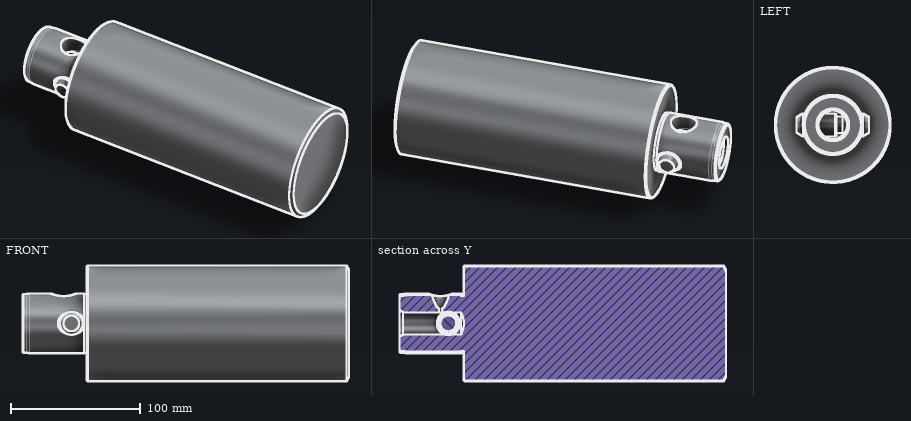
import cadquery as cq
import math

total_length = 253.2
body_radius = 44.95
shoulder_x = 50.0
body_front_chamfer = 1.0
body_rear_chamfer_length = 2.0
body_rear_chamfer_depth = 3.5

spigot_radius = 23.3
relief_radius = 22.8
nose_chamfer = 1.0
relief_end_x = 3.3
taper_end_x = 5.5
undercut_start_x = 47.5

bore_radius = 11.1
bore_mouth_radius = 12.7
bore_mouth_depth = 2.8
bore_depth = 47.5
drill_half_angle = math.radians(59)
drill_point_depth = bore_radius / math.tan(drill_half_angle)

access_x = 32.0
access_radius = 7.3
access_mouth_radius = 10.1

pin_x = 38.0
pin_radius = 8.9
pin_reach = 28.0
pin_tip_radius = 6.0
pin_cone_half_angle = math.radians(30)
pin_cone_length = (pin_radius - pin_tip_radius) / math.tan(pin_cone_half_angle)
cross_hole_mouth_radius = 10.5
rod_radius = 6.3
front_pin_inner_y = -7.3
rear_pin_inner_y = -2.8
rear_pin_chamfer_length = 1.3
rear_pin_chamfer_depth = 0.8
rod_end_y = 7.5


def revolve_about_y(points):
    """Turn (radius, y) points about the cross axis of the pins."""
    profile = cq.Workplane("XY").polyline(points).close()
    return profile.revolve(360, (0, 0), (0, 1)).translate((pin_x, 0, 0))


def make_blank():
    points = [
        (0, 0),
        (0, relief_radius - nose_chamfer),
        (nose_chamfer, relief_radius),
        (relief_end_x, relief_radius),
        (taper_end_x, spigot_radius),
        (undercut_start_x, spigot_radius),
        (undercut_start_x, relief_radius),
        (shoulder_x, relief_radius),
        (shoulder_x, body_radius - body_front_chamfer),
        (shoulder_x + body_front_chamfer, body_radius),
        (total_length - body_rear_chamfer_length, body_radius),
        (total_length, body_radius - body_rear_chamfer_depth),
        (total_length, 0),
    ]
    return cq.Workplane("XY").polyline(points).close().revolve(360, (0, 0), (1, 0))


def make_bore():
    points = [
        (0, 0),
        (0, bore_mouth_radius),
        (bore_mouth_depth, bore_radius),
        (bore_depth, bore_radius),
        (bore_depth + drill_point_depth, 0),
    ]
    return cq.Workplane("XY").polyline(points).close().revolve(360, (0, 0), (1, 0))


def make_access_hole():
    cone_depth = spigot_radius - bore_radius
    cone = cq.Solid.makeCone(
        access_mouth_radius, access_radius, cone_depth,
        pnt=cq.Vector(access_x, 0, spigot_radius), dir=cq.Vector(0, 0, -1),
    )
    hole = cq.Workplane("XY").center(access_x, 0).circle(access_radius).extrude(spigot_radius)
    return hole.union(cq.Workplane(cone))


def make_cross_hole():
    mouth_y = spigot_radius - (cross_hole_mouth_radius - pin_radius)
    return revolve_about_y([
        (0, -spigot_radius),
        (cross_hole_mouth_radius, -spigot_radius),
        (pin_radius, -mouth_y),
        (pin_radius, mouth_y),
        (cross_hole_mouth_radius, spigot_radius),
        (0, spigot_radius),
    ])


def make_housing():
    return make_blank().cut(make_bore()).cut(make_access_hole()).cut(make_cross_hole())


def make_front_pin():
    """Pin on the -Y side, with the rod that enters the rear pin."""
    return revolve_about_y([
        (0, -pin_reach),
        (pin_tip_radius, -pin_reach),
        (pin_radius, -pin_reach + pin_cone_length),
        (pin_radius, front_pin_inner_y),
        (rod_radius, front_pin_inner_y),
        (rod_radius, rod_end_y),
        (0, rod_end_y),
    ])


def make_rear_pin():
    """Pin on the +Y side, with a socket that fits the rod."""
    return revolve_about_y([
        (0, pin_reach),
        (pin_tip_radius, pin_reach),
        (pin_radius, pin_reach - pin_cone_length),
        (pin_radius, rear_pin_inner_y + rear_pin_chamfer_length),
        (pin_radius - rear_pin_chamfer_depth, rear_pin_inner_y),
        (rod_radius, rear_pin_inner_y),
        (rod_radius, rod_end_y),
        (0, rod_end_y),
    ])


housing = make_housing()
front_pin = make_front_pin()
rear_pin = make_rear_pin()

result = cq.Compound.makeCompound([housing.val(), front_pin.val(), rear_pin.val()])